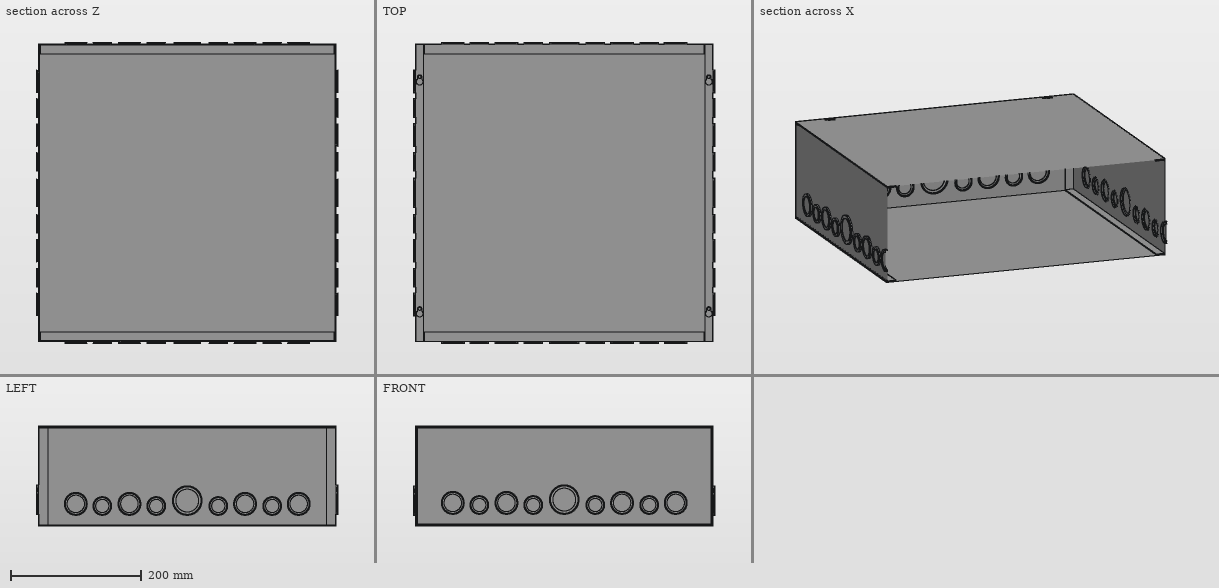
import cadquery as cq

body_side = 457.0
outer_side = 463.0
outer_height = 153.8
sheet = 1.55
bend_radius = 1.5
half_side = body_side / 2
box_height = outer_height - sheet
inner_half = half_side - sheet

wrap_flange = 12.0
cap_flange = 15.0
flange_gap = 1.5
flange_underside = box_height - sheet

knockout_height = (outer_side - body_side) / 2
knockout_bottom = 16.0
knockout_recess = 1.0
large = (22.5, 17.5)
medium = (17.5, 13.5)
small = (14.5, 10.0)
side_knockouts = [(47.5, small), (89.0, medium), (130.5, small), (171.5, medium)]
knockout_row = [(0, large)] + [(side * place, size) for place, size in side_knockouts for side in (-1, 1)]

screw_x = 222.5
screw_y = 178.5
screw_hole_radius = 2.5
keyhole_slot_radius = 3.2
keyhole_head_radius = 5.0
keyhole_drop = 7.5
screw_places = [(x, y) for x in (-screw_x, screw_x) for y in (-screw_y, screw_y)]


def block(x0, x1, y0, y1, z0, z1):
    """Box between two opposite corners."""
    return cq.Workplane("XY").box(x1 - x0, y1 - y0, z1 - z0, centered=False).translate((x0, y0, z0))


def stamp_knockouts(part, base):
    """Press a row of knockouts out of the wall that faces -Y and stands on height base."""
    for x, (outer, inner) in knockout_row:
        face = cq.Workplane("XZ", origin=(x, -half_side, base + knockout_bottom + outer))
        boss = face.circle(outer).extrude(knockout_height)
        recess = face.workplane(offset=knockout_height - knockout_recess).circle(inner).extrude(knockout_recess)
        hollow = face.workplane(offset=-sheet).circle(outer - sheet).extrude(knockout_height)
        part = part.union(boss).cut(recess).cut(hollow)
    return part


def turned(shape, angle):
    """Copy turned about the vertical axis of the enclosure."""
    return shape.rotate((0, 0, 0), (0, 0, 1), angle)


def make_wrap():
    """Back sheet, the two X walls and their inward top flanges, folded from one sheet."""
    wrap = block(-half_side, half_side, -half_side, half_side, 0, sheet)
    for angle in (90, -90):
        wall = block(-half_side, half_side, -half_side, -inner_half, 0, box_height)
        flange = block(-half_side, half_side, -half_side, wrap_flange - half_side, flange_underside, box_height)
        side = stamp_knockouts(wall.union(flange), 0)
        wrap = wrap.union(turned(side, angle))
    holes = (
        cq.Workplane("XY", origin=(0, 0, flange_underside))
        .pushPoints(screw_places)
        .circle(screw_hole_radius)
        .extrude(sheet)
    )
    return wrap.cut(holes)


def make_end_cap(angle):
    """Wall that fits between the wrap's walls, with an inward flange along each of its four edges."""
    flange_end = cap_flange - half_side
    top_half = half_side - wrap_flange - flange_gap
    cavity_half = inner_half - sheet
    blank = block(-inner_half, inner_half, -half_side, flange_end, sheet, flange_underside)
    cavity = block(-cavity_half, cavity_half, -inner_half, flange_end, 2 * sheet, flange_underside)
    lower = blank.cut(cavity).edges("<Y").edges("|Z or <Z").fillet(bend_radius)
    top_flange = block(-top_half, top_half, -half_side, flange_end, flange_underside, box_height)
    top_flange = top_flange.edges("|X and <Y and >Z").fillet(bend_radius)
    cap = stamp_knockouts(lower.union(top_flange), sheet)
    return turned(cap, angle)


def keyhole(x, y):
    """Cutter for a wide round hole with a narrow slot that ends over the screw."""
    plane = cq.Workplane("XY", origin=(x, y, box_height))
    head = plane.center(0, -keyhole_drop).circle(keyhole_head_radius).extrude(sheet)
    slot_end = plane.circle(keyhole_slot_radius).extrude(sheet)
    slot = plane.center(0, -keyhole_drop / 2).rect(2 * keyhole_slot_radius, keyhole_drop).extrude(sheet)
    return head.union(slot_end).union(slot)


def make_cover():
    """Flat sheet on the flanges, with a keyhole over each screw hole."""
    cover = block(-half_side, half_side, -half_side, half_side, box_height, outer_height)
    for x, y in screw_places:
        cover = cover.cut(keyhole(x, y))
    return cover


wrap = make_wrap()
end_caps = [make_end_cap(angle) for angle in (0, 180)]
cover = make_cover()

result = cq.Compound.makeCompound([wrap.val(), *[cap.val() for cap in end_caps], cover.val()])